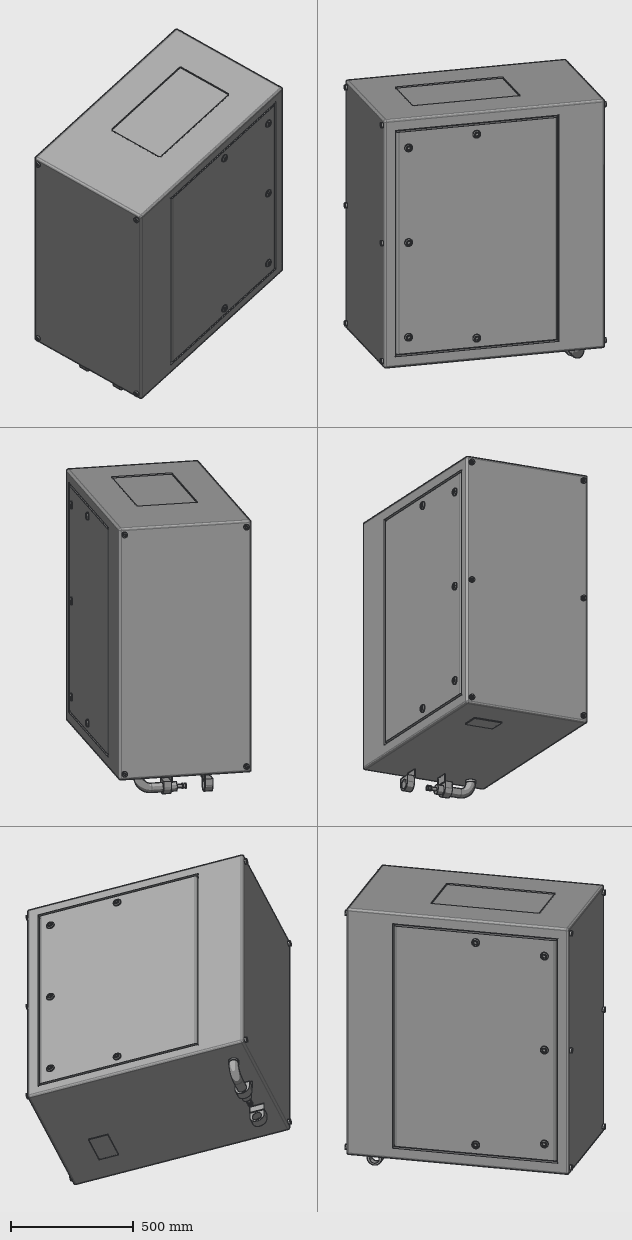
import cadquery as cq

OVERALL_WIDTH = 572.0
OVERALL_DEPTH = 957.0
OVERALL_HEIGHT = 1156.0

WIDTH = 555.0
DEPTH = 940.0
HEIGHT = 1067.0
EDGE_RADIUS = 9.0
MID_HEIGHT = HEIGHT / 2

WINDOW_WIDTH = 253.0
WINDOW_DEPTH = 458.0
WINDOW_Y = 75.0
WINDOW_SINK = 6.0
WINDOW_CORNER_RADIUS = 7.0

DOOR_BORDER = 47.0
DOOR_FRONT_Y = -274.0
SIDE_GAP = 5.0
END_GAP = 9.0
GROOVE_DEPTH = 18.0
DOOR_BACK_Y = DEPTH / 2 - DOOR_BORDER
DOOR_Y = (DOOR_FRONT_Y + DOOR_BACK_Y) / 2
OPENING_WIDTH = DOOR_BACK_Y - DOOR_FRONT_Y
OPENING_HEIGHT = HEIGHT - 2 * DOOR_BORDER

KNOB_DIAMETER = 32.0
KNOB_HEIGHT = (OVERALL_WIDTH - WIDTH) / 2
KNOB_CHAMFER = 5.0
KNOB_SOCKET_DIAMETER = 14.0
EDGE_KNOB_Y = 368.0
EDGE_KNOB_RISE = 407.0
MIDDLE_KNOB_Y = 77.0
MIDDLE_KNOB_RISE = 438.0
KNOB_PLACES = [
    (EDGE_KNOB_Y, -EDGE_KNOB_RISE),
    (EDGE_KNOB_Y, 0),
    (EDGE_KNOB_Y, EDGE_KNOB_RISE),
    (MIDDLE_KNOB_Y, -MIDDLE_KNOB_RISE),
    (MIDDLE_KNOB_Y, MIDDLE_KNOB_RISE),
]

SCREW_DIAMETER = 22.0
SCREW_HEIGHT = (OVERALL_DEPTH - DEPTH) / 2
SCREW_SOCKET_DIAMETER = 9.0
SCREW_X = WIDTH / 2 - 22.0
CORNER_SCREW_RISE = MID_HEIGHT - 27.0
FRONT_SCREW_RISES = (-CORNER_SCREW_RISE, CORNER_SCREW_RISE)
BACK_SCREW_RISES = (-CORNER_SCREW_RISE, 0, CORNER_SCREW_RISE)

PLATE_WIDTH = 125.0
PLATE_DEPTH = 84.0
PLATE_THICKNESS = 5.0
PLATE_X = 103.0
PLATE_Y = 279.0

PIPE_DIAMETER = 39.0
PIPE_Y = -392.0
PIPE_Z = -61.0
PIPE_INLET_X = -178.0
PIPE_END_X = -20.0
COLLAR_DIAMETER = 44.0
COLLAR_HEIGHT = 9.0
BEND_RADIUS = -PIPE_Z - COLLAR_HEIGHT

NOZZLE_STEPS = [
    (5.0, 15.0),
    (8.0, 22.0),
    (17.0, 15.0),
    (21.0, 22.0),
]

CLIP_LENGTH = 32.0
CLIP_RADIUS = 31.0
CLIP_TOP_Z = -30.0
CLIP_BOTTOM_Z = HEIGHT - OVERALL_HEIGHT
STRAP_THICKNESS = 3.0
STRAP_LENGTH = 35.0
LEFT_CLIP_X = -79.0
RIGHT_CLIP_X = 95.0


def box_between(x_range, y_range, z_range):
    """Box filling the given X, Y and Z ranges."""
    size = [high - low for low, high in (x_range, y_range, z_range)]
    return cq.Workplane("XY").box(*size, centered=False).translate((x_range[0], y_range[0], z_range[0]))


def x_cylinder(x_start, x_end, diameter):
    """Cylinder along X on the drain pipe's axis."""
    plane = cq.Workplane("YZ", origin=(x_start, PIPE_Y, PIPE_Z))
    return plane.circle(diameter / 2).extrude(x_end - x_start)


def button(place, direction, diameter, height, socket_diameter):
    """Round head with a round socket in its end, standing on a face at the given place."""
    plane = cq.Workplane(cq.Plane(origin=place, normal=direction))
    head = plane.circle(diameter / 2).extrude(height)
    socket = plane.workplane(offset=height / 2).circle(socket_diameter / 2).extrude(height / 2)
    return head.cut(socket)


def knob(side, y, z):
    """Door knob with a chamfered rim."""
    place = (side * WIDTH / 2, y, z)
    head = button(place, (side, 0, 0), KNOB_DIAMETER, KNOB_HEIGHT, KNOB_SOCKET_DIAMETER)
    outer_face = head.faces(">X" if side > 0 else "<X")
    rim = outer_face.edges(cq.selectors.RadiusNthSelector(-1))
    return rim.chamfer(KNOB_CHAMFER)


def screw(side, x, z):
    """Screw head on the front (side -1) or back (side 1) face."""
    place = (x, side * DEPTH / 2, z)
    return button(place, (0, side, 0), SCREW_DIAMETER, SCREW_HEIGHT, SCREW_SOCKET_DIAMETER)


def door_groove(side):
    """Ring cut around one door, leaving the door's upright outer edges rounded."""
    inner_x = WIDTH / 2 - GROOVE_DEPTH
    centre = (side * (inner_x + GROOVE_DEPTH / 2), DOOR_Y, MID_HEIGHT)
    outer_face = ">X" if side > 0 else "<X"
    opening = cq.Workplane("XY").box(GROOVE_DEPTH, OPENING_WIDTH, OPENING_HEIGHT)
    door = cq.Workplane("XY").box(
        GROOVE_DEPTH, OPENING_WIDTH - 2 * SIDE_GAP, OPENING_HEIGHT - 2 * END_GAP
    )
    door = door.faces(outer_face).edges("|Z").fillet(EDGE_RADIUS)
    return opening.cut(door).translate(centre)


def clip(x_start, strap_x):
    """U-shaped pipe clip with a bore for the pipe, and the strap that holds it."""
    arc_z = CLIP_BOTTOM_Z + CLIP_RADIUS
    body = (
        cq.Workplane("YZ", origin=(x_start, PIPE_Y, 0))
        .moveTo(-CLIP_RADIUS, CLIP_TOP_Z)
        .lineTo(-CLIP_RADIUS, arc_z)
        .threePointArc((0, CLIP_BOTTOM_Z), (CLIP_RADIUS, arc_z))
        .lineTo(CLIP_RADIUS, CLIP_TOP_Z)
        .close()
        .extrude(CLIP_LENGTH)
    )
    bore = x_cylinder(x_start, x_start + CLIP_LENGTH, PIPE_DIAMETER)
    strap = box_between(
        (strap_x, strap_x + STRAP_THICKNESS),
        (PIPE_Y - CLIP_RADIUS, PIPE_Y + CLIP_RADIUS),
        (-STRAP_LENGTH, 0),
    )
    return body.cut(bore).union(strap)


def make_cabinet():
    cabinet = cq.Workplane("XY").box(WIDTH, DEPTH, HEIGHT, centered=(True, True, False))
    cabinet = cabinet.edges().fillet(EDGE_RADIUS)

    window = (
        cq.Workplane("XY", origin=(0, WINDOW_Y, HEIGHT - WINDOW_SINK))
        .rect(WINDOW_WIDTH, WINDOW_DEPTH)
        .extrude(WINDOW_SINK)
        .edges("|Z")
        .fillet(WINDOW_CORNER_RADIUS)
    )
    cabinet = cabinet.cut(window)

    for side in (-1, 1):
        cabinet = cabinet.cut(door_groove(side))
        for y, rise in KNOB_PLACES:
            cabinet = cabinet.union(knob(side, y, MID_HEIGHT + rise))

    for x in (-SCREW_X, SCREW_X):
        for rise in FRONT_SCREW_RISES:
            cabinet = cabinet.union(screw(-1, x, MID_HEIGHT + rise))
        for rise in BACK_SCREW_RISES:
            cabinet = cabinet.union(screw(1, x, MID_HEIGHT + rise))

    plate = cq.Workplane("XY", origin=(PLATE_X, PLATE_Y, 0)).rect(PLATE_WIDTH, PLATE_DEPTH)
    cabinet = cabinet.union(plate.extrude(-PLATE_THICKNESS))

    cabinet = cabinet.union(clip(LEFT_CLIP_X, LEFT_CLIP_X + CLIP_LENGTH))
    return cabinet.union(clip(RIGHT_CLIP_X, RIGHT_CLIP_X - STRAP_THICKNESS))


def make_drain_pipe():
    collar = cq.Workplane("XY", origin=(PIPE_INLET_X, PIPE_Y, 0))
    collar = collar.circle(COLLAR_DIAMETER / 2).extrude(-COLLAR_HEIGHT)

    bend = (
        cq.Workplane("XY", origin=(PIPE_INLET_X, PIPE_Y, -COLLAR_HEIGHT))
        .circle(PIPE_DIAMETER / 2)
        .revolve(90, (BEND_RADIUS, 0), (BEND_RADIUS, -1))
    )
    pipe = collar.union(bend).union(x_cylinder(PIPE_INLET_X + BEND_RADIUS, PIPE_END_X, PIPE_DIAMETER))

    step_start = PIPE_END_X
    for step_end, diameter in NOZZLE_STEPS:
        pipe = pipe.union(x_cylinder(step_start, step_end, diameter))
        step_start = step_end
    return pipe


cabinet = make_cabinet()
drain_pipe = make_drain_pipe()

result = cq.Compound.makeCompound([cabinet.val(), drain_pipe.val()])